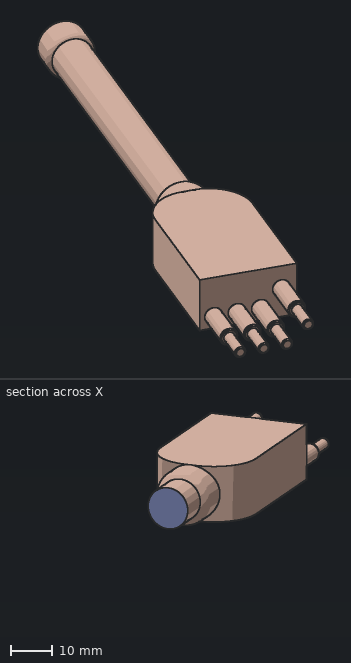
import cadquery as cq

total_length = 154.5

cable_diameter = 10.5
cap_diameter = 12.5
cap_length = 7.7
cap_fillet = 1.5

body_width = 25.0
body_height = 14.0
body_rear = 91.8
body_front = 134.9
body_corner_radius = 11.0

collar_diameter = body_height
collar_rear = 84.8
collar_fillet = 3.0

sleeve_diameter = 4.5
sleeve_end = 146.3
tip_diameter = 2.8
pin_chamfer = 0.3
lower_pin_z = -3.5
upper_pin_z = lower_pin_z + sleeve_diameter
upper_pin_y = 8.5
lower_pin_pitch = 6.0
lower_pin_center_y = -3.0
lower_pin_count = 3


def rod(diameter, x_start, x_end, y=0.0, z=0.0):
    """Cylinder running along X."""
    section = cq.Workplane("YZ", origin=(x_start, y, z)).circle(diameter / 2)
    return section.extrude(x_end - x_start)


def make_body():
    length = body_front - body_rear
    block = cq.Workplane("XY").box(length, body_width, body_height)
    block = block.edges("|Z and <X").fillet(body_corner_radius)
    return block.translate((body_rear + length / 2, 0, 0))


def make_cable():
    """Cable with its end cap and collar, each rounded where it meets the cable."""
    body_middle = (body_rear + body_front) / 2
    cable = rod(cable_diameter, 0, body_middle)
    cap = rod(cap_diameter, 0, cap_length).faces(">X").edges().fillet(cap_fillet)
    collar = rod(collar_diameter, collar_rear, body_rear + body_corner_radius)
    collar = collar.faces("<X").edges().fillet(collar_fillet)
    return cable.union(cap).union(collar)


def make_pin(y, z):
    sleeve = rod(sleeve_diameter, body_front, sleeve_end, y, z)
    sleeve = sleeve.faces(">X").edges().chamfer(pin_chamfer)
    tip = rod(tip_diameter, body_front, total_length, y, z)
    tip = tip.faces(">X").edges().chamfer(pin_chamfer)
    return sleeve.union(tip)


pin_positions = [(upper_pin_y, upper_pin_z)]
for i in range(lower_pin_count):
    offset = (i - (lower_pin_count - 1) / 2) * lower_pin_pitch
    pin_positions.append((lower_pin_center_y + offset, lower_pin_z))

result = make_body().union(make_cable())
for y, z in pin_positions:
    result = result.union(make_pin(y, z))